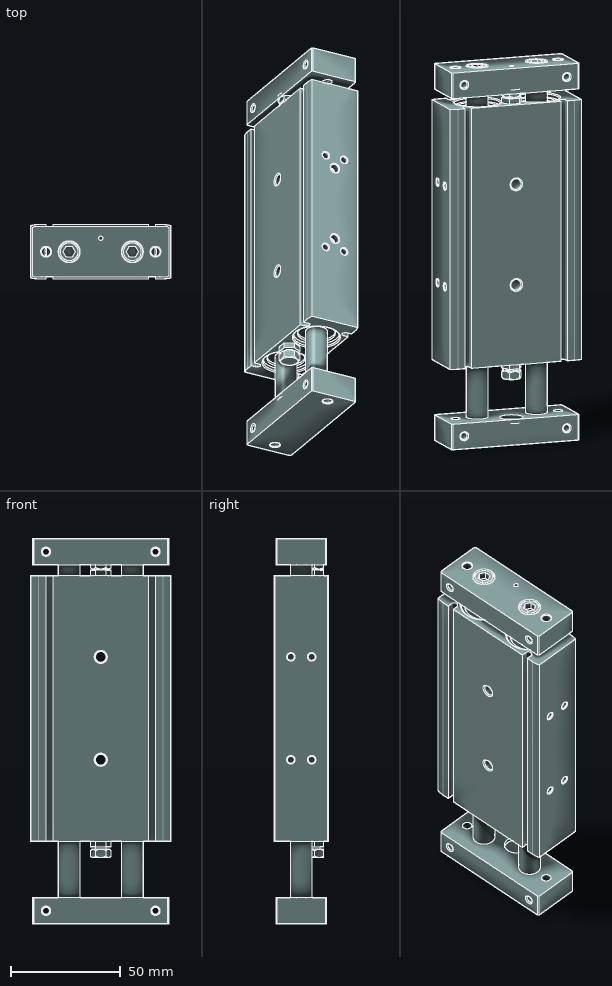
import cadquery as cq
import math

TOTAL_HEIGHT = 175.8
PLATE_HEIGHT = 12.0
HOUSING_BOTTOM = 37.6
HOUSING_HEIGHT = 121.3
HOUSING_TOP = HOUSING_BOTTOM + HOUSING_HEIGHT
UPPER_PLATE_BOTTOM = TOTAL_HEIGHT - PLATE_HEIGHT

HOUSING_WIDTH = 64.0
HOUSING_DEPTH = 25.0
SHOULDER_WIDTH = 3.7
SHOULDER_DROP = 0.5
SHOULDER_RADIUS = (SHOULDER_WIDTH**2 + SHOULDER_DROP**2) / (2 * SHOULDER_DROP)
GROOVE_OFFSET = 23.4
GROOVE_WIDTH = 3.2
GROOVE_DEPTH = 3.9

ROD_OFFSET = 14.5
ROD_DIAMETER = 10.0
RECESS_MOUTH = 22.0
RECESS_DIAMETER = 21.0
RECESS_DEPTH = 2.0
SEAL_DIAMETER = 17.2
SEAL_DEPTH = 3.0

HEX_SIDES = 6

ROD_END_DIAMETER = 9.5
ROD_END_LENGTH = 5.0
ROD_END_CHAMFER = 0.7
SOCKET_FLATS = 5.0
SOCKET_DEPTH = 3.5

PLATE_WIDTH = 62.0
PLATE_DEPTH = 23.0
PLATE_EDGE_CHAMFER = 0.5
PLATE_HOLE_OFFSET = 25.0
SIDE_HOLE_DIAMETER = 3.2
SIDE_HOLE_MOUTH = 4.2
END_HOLE_DIAMETER = 4.2
END_HOLE_MOUTH = 5.0
VENT_DIAMETER = 2.0

STOPPER_Y = 6.2
STOPPER_CORNERS = 9.5
STOPPER_FACE_DIAMETER = 8.0
STOPPER_CHAMFER = 0.7
NUT_HEIGHT = 2.5
SHANK_DIAMETER = 5.0
SHANK_DEPTH = 14.0
LOWER_NECK = 1.0
UPPER_NECK = 0.5
HEAD_HEIGHT = 3.9
STOPPER_RECESS_DIAMETER = 10.5
STOPPER_RECESS_DEPTH = HOUSING_TOP + NUT_HEIGHT + UPPER_NECK + HEAD_HEIGHT - UPPER_PLATE_BOTTOM

MOUNT_Z = (74.9, 121.8)
MOUNT_DIAMETER = 5.0
MOUNT_MOUTH = 6.0
TAPPED_Y = 4.7
TAPPED_DIAMETER = 3.2
TAPPED_MOUTH = 3.9
TAPPED_DEPTH = 5.3
PORT_Z = (80.3, 116.4)
PORT_DIAMETER = 4.2
PORT_MOUTH = 5.0
PORT_DEPTH = 4.2
PORT_DRILL_DIAMETER = 3.2
PORT_DRILL_DEPTH = 7.0
PORT_TIP_LENGTH = 0.9


def cylinder(start, direction, diameter, length):
    solid = cq.Solid.makeCylinder(diameter / 2, length, cq.Vector(*start), cq.Vector(*direction))
    return cq.Workplane(obj=solid)


def chamfered_hole(start, direction, diameter, mouth, depth):
    """Hole cutter running from a face into the body, with a 45-degree chamfer at its mouth."""
    chamfer = (mouth - diameter) / 2
    cone = cq.Solid.makeCone(mouth / 2, diameter / 2, chamfer, cq.Vector(*start), cq.Vector(*direction))
    return cylinder(start, direction, diameter, depth).union(cq.Workplane(obj=cone))


def housing_blank():
    """Block whose wide faces curve away slightly towards the corner edges."""
    half_width = HOUSING_WIDTH / 2
    half_depth = HOUSING_DEPTH / 2
    shoulder_x = half_width - SHOULDER_WIDTH
    shoulder_y = half_depth - SHOULDER_DROP
    return (
        cq.Workplane("XY", origin=(0, 0, HOUSING_BOTTOM))
        .moveTo(-shoulder_x, -half_depth)
        .lineTo(shoulder_x, -half_depth)
        .radiusArc((half_width, -shoulder_y), -SHOULDER_RADIUS)
        .lineTo(half_width, shoulder_y)
        .radiusArc((shoulder_x, half_depth), -SHOULDER_RADIUS)
        .lineTo(-shoulder_x, half_depth)
        .radiusArc((-half_width, shoulder_y), -SHOULDER_RADIUS)
        .lineTo(-half_width, -shoulder_y)
        .radiusArc((-shoulder_x, -half_depth), -SHOULDER_RADIUS)
        .close()
        .extrude(HOUSING_HEIGHT)
    )


def round_bottom_groove(x, side):
    """Full-height groove cutter with a half-round bottom, in the face on the given Y side."""
    mouth_y = side * HOUSING_DEPTH / 2
    centre_y = mouth_y - side * (GROOVE_DEPTH - GROOVE_WIDTH / 2)
    bottom_y = mouth_y - side * GROOVE_DEPTH
    left = x - GROOVE_WIDTH / 2
    right = x + GROOVE_WIDTH / 2
    return (
        cq.Workplane("XY", origin=(0, 0, HOUSING_BOTTOM))
        .moveTo(left, mouth_y)
        .lineTo(left, centre_y)
        .threePointArc((x, bottom_y), (right, centre_y))
        .lineTo(right, mouth_y)
        .close()
        .extrude(HOUSING_HEIGHT)
    )


def build_housing():
    body = housing_blank()
    for x in (-GROOVE_OFFSET, GROOVE_OFFSET):
        for side in (-1, 1):
            body = body.cut(round_bottom_groove(x, side))

    ends = ((HOUSING_TOP, -1), (HOUSING_BOTTOM, 1))
    for x in (-ROD_OFFSET, ROD_OFFSET):
        body = body.cut(cylinder((x, 0, HOUSING_BOTTOM), (0, 0, 1), ROD_DIAMETER, HOUSING_HEIGHT))
        for z, inward in ends:
            start = (x, 0, z)
            along = (0, 0, inward)
            body = body.cut(chamfered_hole(start, along, RECESS_DIAMETER, RECESS_MOUTH, RECESS_DEPTH))
            body = body.cut(cylinder(start, along, SEAL_DIAMETER, SEAL_DEPTH))

    for z, inward in ends:
        body = body.cut(cylinder((0, STOPPER_Y, z), (0, 0, inward), SHANK_DIAMETER, SHANK_DEPTH))

    for z in MOUNT_Z:
        for side in (-1, 1):
            start = (0, side * HOUSING_DEPTH / 2, z)
            along = (0, -side, 0)
            body = body.cut(chamfered_hole(start, along, MOUNT_DIAMETER, MOUNT_MOUTH, HOUSING_DEPTH))

    for side in (-1, 1):
        for z in MOUNT_Z:
            for y in (-TAPPED_Y, TAPPED_Y):
                start = (side * HOUSING_WIDTH / 2, y, z)
                along = (-side, 0, 0)
                body = body.cut(chamfered_hole(start, along, TAPPED_DIAMETER, TAPPED_MOUTH, TAPPED_DEPTH))

    for z in PORT_Z:
        start = (-HOUSING_WIDTH / 2, 0, z)
        body = body.cut(chamfered_hole(start, (1, 0, 0), PORT_DIAMETER, PORT_MOUTH, PORT_DEPTH))
        body = body.cut(cylinder(start, (1, 0, 0), PORT_DRILL_DIAMETER, PORT_DRILL_DEPTH))
        tip_start = cq.Vector(PORT_DRILL_DEPTH - HOUSING_WIDTH / 2, 0, z)
        tip = cq.Solid.makeCone(PORT_DRILL_DIAMETER / 2, 0, PORT_TIP_LENGTH, tip_start, cq.Vector(1, 0, 0))
        body = body.cut(cq.Workplane(obj=tip))
    return body


def build_plate(outer_z, inner_z):
    """End plate with its tapped holes and the recess that receives a stopper head."""
    outward = math.copysign(1, outer_z - inner_z)
    bottom_z = min(outer_z, inner_z)
    plate = (
        cq.Workplane("XY", origin=(0, 0, bottom_z))
        .rect(PLATE_WIDTH, PLATE_DEPTH)
        .extrude(PLATE_HEIGHT)
        .edges("|Z")
        .chamfer(PLATE_EDGE_CHAMFER)
    )
    for x in (-PLATE_HOLE_OFFSET, PLATE_HOLE_OFFSET):
        for side in (-1, 1):
            start = (x, side * PLATE_DEPTH / 2, bottom_z + PLATE_HEIGHT / 2)
            along = (0, -side, 0)
            plate = plate.cut(chamfered_hole(start, along, SIDE_HOLE_DIAMETER, SIDE_HOLE_MOUTH, PLATE_DEPTH))
        start = (x, 0, outer_z)
        along = (0, 0, -outward)
        plate = plate.cut(chamfered_hole(start, along, END_HOLE_DIAMETER, END_HOLE_MOUTH, PLATE_HEIGHT))
    recess_start = (0, STOPPER_Y, inner_z)
    return plate.cut(cylinder(recess_start, (0, 0, outward), STOPPER_RECESS_DIAMETER, STOPPER_RECESS_DEPTH))


def build_upper_plate():
    plate = build_plate(TOTAL_HEIGHT, UPPER_PLATE_BOTTOM)
    for x in (-ROD_OFFSET, ROD_OFFSET):
        plate = plate.cut(cylinder((x, 0, UPPER_PLATE_BOTTOM), (0, 0, 1), ROD_DIAMETER, PLATE_HEIGHT))
    return plate.cut(cylinder((0, STOPPER_Y, UPPER_PLATE_BOTTOM), (0, 0, 1), VENT_DIAMETER, PLATE_HEIGHT))


def build_rod(x):
    """Guide rod whose narrower, socketed upper end lies flush in the upper plate."""
    shoulder_z = TOTAL_HEIGHT - ROD_END_LENGTH
    rod = cylinder((x, 0, PLATE_HEIGHT), (0, 0, 1), ROD_DIAMETER, shoulder_z - PLATE_HEIGHT)
    rod_end = (
        cylinder((x, 0, shoulder_z), (0, 0, 1), ROD_END_DIAMETER, ROD_END_LENGTH)
        .faces(">Z")
        .chamfer(ROD_END_CHAMFER)
    )
    socket = (
        cq.Workplane("XY", origin=(x, 0, TOTAL_HEIGHT))
        .polygon(HEX_SIDES, SOCKET_FLATS / math.cos(math.pi / HEX_SIDES))
        .extrude(-SOCKET_DEPTH)
    )
    return rod.union(rod_end).cut(socket)


def hexagon(z, outward, height):
    centre = (0, STOPPER_Y, z)
    return cq.Workplane("XY", origin=centre).polygon(HEX_SIDES, STOPPER_CORNERS).extrude(outward * height)


def build_stopper(face_z, outward, neck):
    """Stopper bolt with its lock nut seated on a housing end."""
    head_z = face_z + outward * (NUT_HEIGHT + neck)
    shank_start = (0, STOPPER_Y, face_z - outward * SHANK_DEPTH)
    shank_length = SHANK_DEPTH + NUT_HEIGHT + neck
    shank = cylinder(shank_start, (0, 0, outward), SHANK_DIAMETER, shank_length)
    nut = hexagon(face_z, outward, NUT_HEIGHT)
    radial = (STOPPER_CORNERS - STOPPER_FACE_DIAMETER) / 2
    turned_blank = (
        cylinder((0, STOPPER_Y, head_z), (0, 0, outward), STOPPER_CORNERS, HEAD_HEIGHT)
        .faces("|Z")
        .chamfer(STOPPER_CHAMFER, radial)
    )
    head = hexagon(head_z, outward, HEAD_HEIGHT).intersect(turned_blank)
    return shank.union(nut).union(head)


housing = build_housing()
lower_plate = build_plate(0, PLATE_HEIGHT)
upper_plate = build_upper_plate()
rods = [build_rod(x) for x in (-ROD_OFFSET, ROD_OFFSET)]
stoppers = [
    build_stopper(HOUSING_BOTTOM, -1, LOWER_NECK),
    build_stopper(HOUSING_TOP, 1, UPPER_NECK),
]

result = cq.Compound.makeCompound(
    [housing.val(), lower_plate.val(), upper_plate.val()]
    + [rod.val() for rod in rods]
    + [stopper.val() for stopper in stoppers]
)